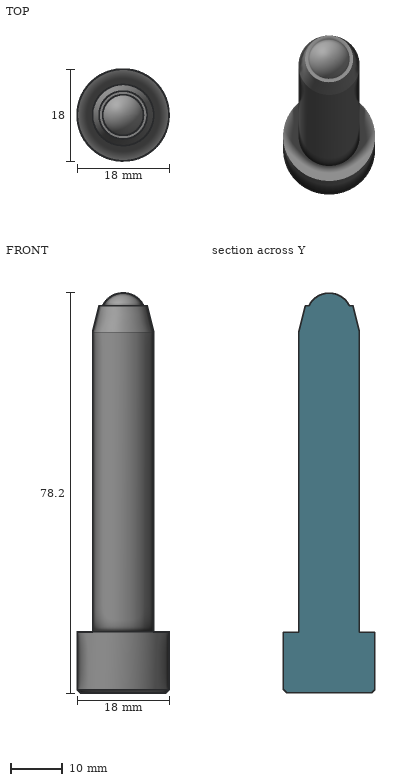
import cadquery as cq

total_height = 78.25
head_diameter = 18.0
head_height = 12.0
head_chamfer = 0.7

shank_diameter = 12.0
taper_start = 70.6
taper_end = 75.75
taper_end_radius = 4.7
dome_base_radius = 4.0

head_radius = head_diameter / 2
shank_radius = shank_diameter / 2

dome_height = total_height - taper_end
sphere_radius = (dome_base_radius**2 + dome_height**2) / (2 * dome_height)
dome_mid_radius = dome_base_radius / 2
sphere_centre = total_height - sphere_radius
dome_mid_height = sphere_centre + (sphere_radius**2 - dome_mid_radius**2) ** 0.5

profile = (
    cq.Workplane("XZ")
    .lineTo(head_radius - head_chamfer, 0)
    .lineTo(head_radius, head_chamfer)
    .lineTo(head_radius, head_height)
    .lineTo(shank_radius, head_height)
    .lineTo(shank_radius, taper_start)
    .lineTo(taper_end_radius, taper_end)
    .lineTo(dome_base_radius, taper_end)
    .threePointArc((dome_mid_radius, dome_mid_height), (0, total_height))
    .close()
)

result = profile.revolve(360, (0, 0, 0), (0, 1, 0))